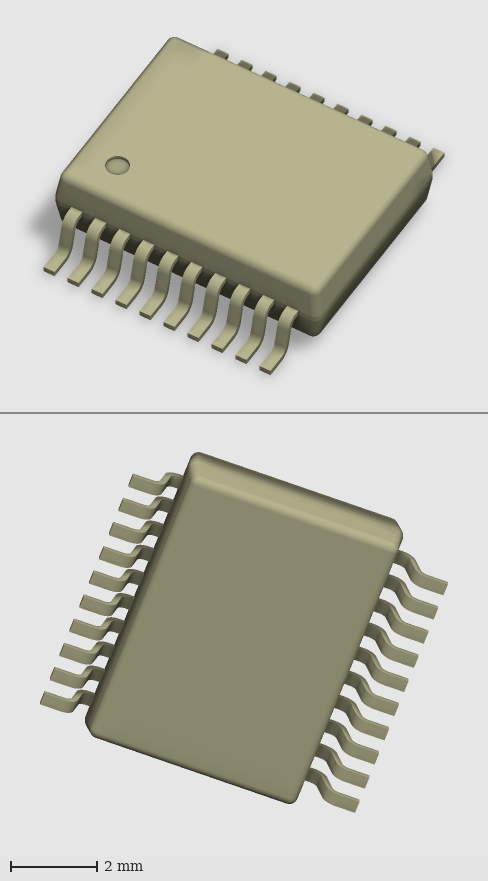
import cadquery as cq
import math

body_length = 7.2
body_width = 5.305
overall_width = 7.8
overall_height = 1.85

standoff = 0.1
draft_angle = 8.0
edge_radius = 0.2
lead_thickness = 0.15
belt_height = lead_thickness
body_mid_z = (standoff + overall_height) / 2
belt_bottom_z = body_mid_z - belt_height / 2
belt_top_z = body_mid_z + belt_height / 2
half_height = overall_height - belt_top_z

leads_per_side = 10
lead_row_span = 5.85
lead_pitch = lead_row_span / (leads_per_side - 1)
lead_width = 0.3
lead_slope = 76.0
inner_bend_radius = 0.19
foot_length = 0.49
lead_embed = 0.31

dimple_x = -2.46
dimple_y = -1.61
dimple_diameter = 0.58
dimple_depth = 0.1


def make_body():
    """Belt with a drafted half above and below, all outer edges rounded."""
    belt = (
        cq.Workplane("XY")
        .workplane(offset=belt_bottom_z)
        .rect(body_length, body_width)
        .extrude(belt_height)
    )
    upper_half = (
        cq.Workplane("XY")
        .workplane(offset=belt_top_z)
        .rect(body_length, body_width)
        .extrude(half_height, taper=draft_angle)
    )
    lower_half = upper_half.mirror("XY", (0, 0, body_mid_z))
    body = belt.union(upper_half).union(lower_half)

    rims = body.faces("<Z or >Z").edges()
    corners = body.edges("not(#Z)")
    return body.newObject(rims.vals() + corners.vals()).fillet(edge_radius)


def make_lead():
    """One lead on the +Y side, centred on X = 0, with its foot on Z = 0."""
    slope = math.radians(lead_slope)
    outer_bend_radius = inner_bend_radius + lead_thickness
    bend_radius = (inner_bend_radius + outer_bend_radius) / 2

    foot_z = lead_thickness / 2
    bend_rise = bend_radius * (1 - math.cos(slope))
    bend_run = bend_radius * math.sin(slope)
    leg_rise = body_mid_z - foot_z - 2 * bend_rise
    leg_run = leg_rise / math.tan(slope)

    foot_end_y = overall_width / 2 - foot_length
    leg_bottom = (foot_end_y - bend_run, foot_z + bend_rise)
    leg_top = (leg_bottom[0] - leg_run, leg_bottom[1] + leg_rise)
    shoulder_y = leg_top[0] - bend_run

    half_slope_rise = bend_radius * (1 - math.cos(slope / 2))
    half_slope_run = bend_radius * math.sin(slope / 2)
    lower_bend_mid = (foot_end_y - half_slope_run, foot_z + half_slope_rise)
    upper_bend_mid = (shoulder_y + half_slope_run, body_mid_z - half_slope_rise)
    path = (
        cq.Workplane("YZ")
        .moveTo(overall_width / 2, foot_z)
        .lineTo(foot_end_y, foot_z)
        .threePointArc(lower_bend_mid, leg_bottom)
        .lineTo(*leg_top)
        .threePointArc(upper_bend_mid, (shoulder_y, body_mid_z))
        .lineTo(body_width / 2 - lead_embed, body_mid_z)
    )
    return (
        cq.Workplane("XZ", origin=(0, overall_width / 2, foot_z))
        .rect(lead_width, lead_thickness)
        .sweep(path)
    )


def add_leads(body):
    """Place an even row of leads along both long sides."""
    lead = make_lead()
    opposite_lead = lead.mirror("XZ")
    for index in range(leads_per_side):
        x = index * lead_pitch - lead_row_span / 2
        body = body.union(lead.translate((x, 0, 0)))
        body = body.union(opposite_lead.translate((x, 0, 0)))
    return body


def cut_dimple(body):
    """Shallow round pin 1 mark in the top face."""
    dimple = (
        cq.Workplane("XY", origin=(dimple_x, dimple_y, overall_height - dimple_depth))
        .circle(dimple_diameter / 2)
        .extrude(dimple_depth)
    )
    return body.cut(dimple)


result = cut_dimple(add_leads(make_body()))